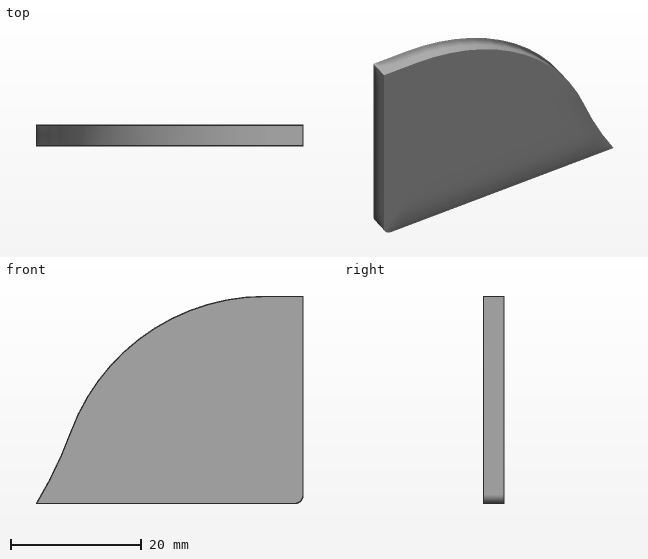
import cadquery as cq
import math

length = 40.85
thickness = 3.2
height = 31.75
top_flat = 5.8
blend_height = 10.95
corner_radius = 1.3

arc_center_x = length - top_flat


def point_on_large_arc(angle):
    """Point on the large arc, with the angle measured up from the base line."""
    return (arc_center_x - height * math.cos(angle), height * math.sin(angle))


blend_angle = math.asin(blend_height / height)
middle_angle = (blend_angle + math.pi / 2) / 2

outline = (
    cq.Workplane("XZ")
    .moveTo(0, 0)
    .lineTo(length, 0)
    .lineTo(length, height)
    .lineTo(arc_center_x, height)
    .threePointArc(point_on_large_arc(middle_angle), point_on_large_arc(blend_angle))
    .tangentArcPoint((0, 0), relative=False)
    .close()
)

plate = outline.extrude(-thickness)

result = plate.edges("|Y and >X and <Z").fillet(corner_radius)